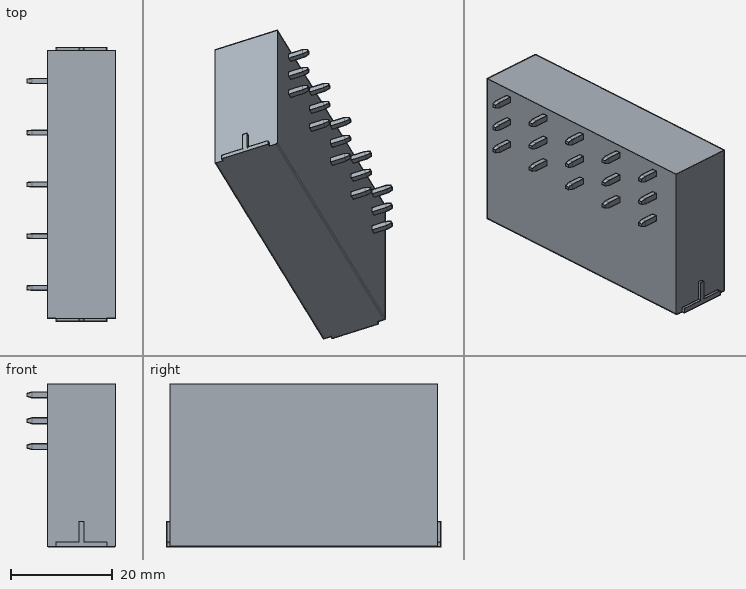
import cadquery as cq

BODY_DEPTH = 13.4
BODY_WIDTH = 52.64
BODY_HEIGHT = 32.0
BODY_EDGE_RADIUS = 0.3

PIN_COLUMNS = 5
PIN_ROWS = 3
COLUMN_PITCH = 10.16
ROW_PITCH = 5.08
TOP_ROW_BELOW_TOP = 2.14
PIN_LENGTH = 4.0
PIN_WIDTH = 1.0
PIN_HEIGHT = 1.2
TIP_LENGTH = 1.0
TIP_WIDTH = 0.8
TIP_HEIGHT = 0.6

RIB_PROJECTION = 0.6
RIB_THICKNESS = 1.0
RIB_FOOT_LENGTH = 10.0
RIB_STEM_HEIGHT = 5.0
RIB_EDGE_RADIUS = 0.2


def make_body():
    """Rectangular housing with the bottom edges along Y rounded."""
    block = cq.Workplane("XY").box(
        BODY_DEPTH, BODY_WIDTH, BODY_HEIGHT, centered=(False, True, False)
    )
    return block.faces("<Z").edges("|Y").fillet(BODY_EDGE_RADIUS)


def make_pin(y, z):
    """Rectangular pin pointing to -X, ending in a tapered tip."""
    shank_length = PIN_LENGTH - TIP_LENGTH
    face = cq.Workplane("YZ", origin=(0, y, z))
    shank = face.rect(PIN_WIDTH, PIN_HEIGHT).extrude(-shank_length)
    tip = (
        face.workplane(offset=-shank_length)
        .rect(PIN_WIDTH, PIN_HEIGHT)
        .workplane(offset=-TIP_LENGTH)
        .rect(TIP_WIDTH, TIP_HEIGHT)
        .loft(ruled=True)
    )
    return shank.union(tip)


def make_ribs():
    """Inverted-T bars running the full width, so they stand proud of both ends."""
    span = BODY_WIDTH + 2 * RIB_PROJECTION
    base = cq.Workplane("XY", origin=(BODY_DEPTH / 2, 0, 0))
    upright = (True, True, False)
    foot = base.box(RIB_FOOT_LENGTH, span, RIB_THICKNESS, centered=upright)
    stem = base.box(RIB_THICKNESS, span, RIB_STEM_HEIGHT, centered=upright)
    rounded_foot = foot.faces(">Z").edges("|Y").fillet(RIB_EDGE_RADIUS)
    rounded_stem = stem.faces(">Z").edges("|Y").fillet(RIB_EDGE_RADIUS)
    return rounded_foot.union(rounded_stem)


result = make_body().union(make_ribs())
for column in range(PIN_COLUMNS):
    pin_y = (column - (PIN_COLUMNS - 1) / 2) * COLUMN_PITCH
    for row in range(PIN_ROWS):
        pin_z = BODY_HEIGHT - TOP_ROW_BELOW_TOP - row * ROW_PITCH
        result = result.union(make_pin(pin_y, pin_z))